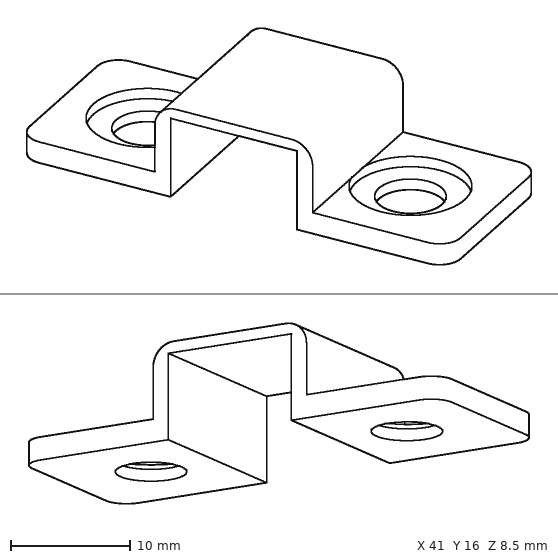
import cadquery as cq

length = 41.0
width = 16.0
height = 8.5

flange_thickness = 2.0
corner_radius = 2.0
hole_spacing = 25.0
hole_diameter = 6.0
counterbore_diameter = 10.3
counterbore_depth = 1.0

bridge_width = 15.0
channel_width = 12.0
roof_thickness = 1.0
bridge_radius = 2.0


def block(size_x, size_z):
    """Full-width block centred in X and Y, standing on the base plane."""
    return cq.Workplane("XY").box(size_x, width, size_z, centered=(True, True, False))


plate = block(length, flange_thickness).edges("|Z").fillet(corner_radius)

plate = (
    plate.faces(">Z")
    .workplane()
    .pushPoints([(-hole_spacing / 2, 0), (hole_spacing / 2, 0)])
    .cboreHole(hole_diameter, counterbore_diameter, counterbore_depth)
)

bridge = (
    block(bridge_width, height - flange_thickness)
    .edges("|Y and >Z")
    .fillet(bridge_radius)
    .translate((0, 0, flange_thickness))
)

channel = block(channel_width, height - roof_thickness)

result = plate.union(bridge).cut(channel)